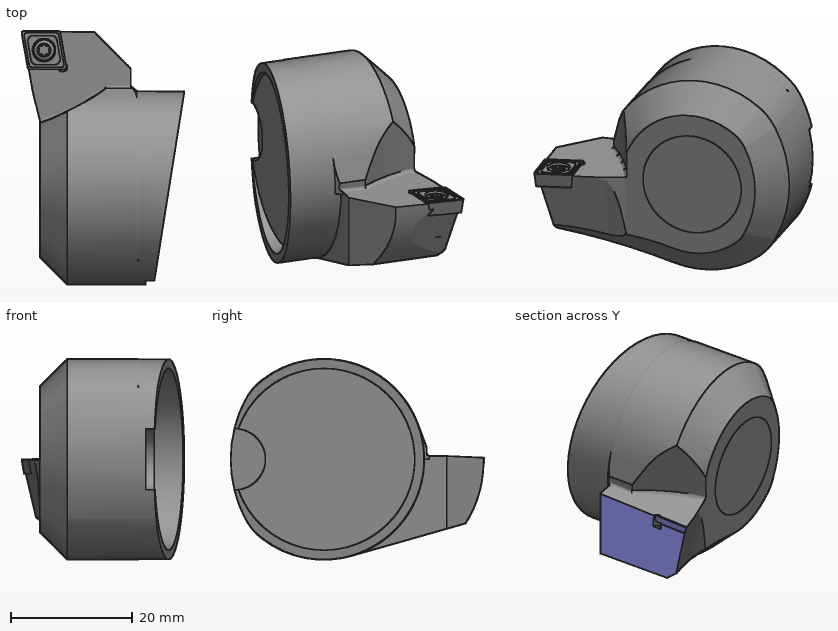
import cadquery as cq
import math


HEAD_RADIUS = 16.6
FLAT_SIDE_REACH = 15.4
FLAT_SIDE_RADIUS = 20.95
CORNER_RADIUS = 10.2
BULGE_ANGLE = 20.5
FRONT_CHAMFER = 4.5
END_TILT = 9.0
END_X_ON_AXIS = 21.23
SPIGOT_RADIUS = 16.54
SPIGOT_START = 16.3
SPIGOT_CHAMFER_LENGTH = 0.35
SPIGOT_RUNOUT_RADIUS = 17.4
BORE_RADIUS = 15.0
BORE_FLOOR_X = 18.87
NOTCH_RADIUS = 5.05
NOTCH_FLOOR_X = 17.45
NOTCH_CENTRE_Y = -14.7
LONG = 60.0

ARM_BACK_X = 15.0
ARM_REACH = 26.35
ARM_END_MIDDLE = (25.67, -5.5)
ARM_END_BOTTOM = (23.45, -10.5)
ARM_CORNER = (9.0, 20.25)
ARM_BOTTOM_ANGLE = 15.9
UNDERSIDE_CHAMFER_RADIUS = 51.0
ARM_HEEL = 11.55
ARM_KNEE = (-1.25, 16.6)
FLANK_ANGLE = 10.0
FLANK_LEAN = 11.0
FLANK_END_Y = 14.8
FLANK_BLEND_RADIUS = 4.0
FLOOR_TILT = 2.5
FLOOR_Z = -0.1
WALL_START = (-4.0, 10.3)
WALL_MIDDLE = (5.0, 13.3)
WALL_END = (10.9, 17.0)
FLOOR_FILLET = 0.5
HEEL_RELIEF_POINTS = ((-2.34, 25.4, -2.4), (-0.58, 23.75, -9.7), (6.0, 25.67, -5.5))

TIP_X = -3.05
TIP_Y = 26.5
INSERT_WIDTH = 6.35
INSERT_ANGLE = 80.0
INSERT_THICKNESS = 2.38
INSERT_CLEARANCE = 7.0
NOSE_RADIUS = 0.4
INSERT_LIFT = 0.2
RIM_WIDTH = 0.35
LAND_INSET = 0.78
LAND_CORNER_RADIUS = 0.9
GROOVE_DEPTH = 0.12
CORNER_RELIEF_RADIUS = 0.75

COUNTERSINK_RADIUS = 1.9
COUNTERSINK_DEPTH = 1.2
SCREW_SHANK_RADIUS = 1.25
SCREW_HEAD_RADIUS = 1.7
SCREW_CROWN_RADIUS = 1.1
SCREW_CROWN_HEIGHT = 0.25
SCREW_LENGTH = 7.0
SOCKET_RADIUS = 1.05
SOCKET_CORE_RADIUS = 0.8
SOCKET_LOBE_RADIUS = 0.25
SOCKET_DEPTH = 0.6
LOBES = 6

CAP_RADIUS = 8.5
CAP_THICKNESS = FRONT_CHAMFER


def polar(radius, degrees):
    angle = math.radians(degrees)
    return (radius * math.cos(angle), radius * math.sin(angle))


def head_outline(plane):
    """Outline in Y, Z: a round with a flattened -Y side and a bulge behind the arm."""
    flat_centre = FLAT_SIDE_RADIUS - FLAT_SIDE_REACH
    inner = HEAD_RADIUS - CORNER_RADIUS
    outer = FLAT_SIDE_RADIUS - CORNER_RADIUS
    centre_y = (inner**2 - outer**2 + flat_centre**2) / (2 * flat_centre)
    centre_z = math.sqrt(inner**2 - centre_y**2)
    round_end = (centre_y * HEAD_RADIUS / inner, centre_z * HEAD_RADIUS / inner)
    reach = FLAT_SIDE_RADIUS / outer
    flat_end = (flat_centre + (centre_y - flat_centre) * reach, centre_z * reach)
    blend_angle = (math.atan2(round_end[1], round_end[0])
                   + math.atan2(flat_end[1] - centre_z, flat_end[0] - centre_y)) / 2
    blend_mid = (centre_y + CORNER_RADIUS * math.cos(blend_angle),
                 centre_z + CORNER_RADIUS * math.sin(blend_angle))

    def mirrored(point):
        return (point[0], -point[1])

    return (
        plane.moveTo(HEAD_RADIUS, 0)
        .lineTo(HEAD_RADIUS / math.cos(math.radians(BULGE_ANGLE)), 0)
        .lineTo(*polar(HEAD_RADIUS, BULGE_ANGLE))
        .threePointArc((0, HEAD_RADIUS), round_end)
        .threePointArc(blend_mid, flat_end)
        .threePointArc((-FLAT_SIDE_REACH, 0), mirrored(flat_end))
        .threePointArc(mirrored(blend_mid), mirrored(round_end))
        .threePointArc(polar(HEAD_RADIUS, -45), (HEAD_RADIUS, 0))
        .close()
    )


def floor_plane(x=0.0, y=0.0, lift=0.0):
    """Plane of the tilted arm floor, with its origin above the point x, y."""
    z = FLOOR_Z + x * math.tan(math.radians(FLOOR_TILT)) + lift
    tilt = math.radians(FLOOR_TILT)
    return cq.Plane(
        origin=(x, y, z),
        xDir=(math.cos(tilt), 0, math.sin(tilt)),
        normal=(-math.sin(tilt), 0, math.cos(tilt)),
    )


def head_shell():
    straight = head_outline(cq.Workplane("YZ").workplane(offset=FRONT_CHAMFER)).extrude(LONG / 2)
    front = head_outline(cq.Workplane("YZ", origin=(FRONT_CHAMFER, 0, 0))).extrude(
        -FRONT_CHAMFER, taper=45)
    return straight.union(front)


def flank_point(y):
    """Point of the flank at floor height."""
    slope = math.tan(math.radians(FLANK_ANGLE))
    return (ARM_KNEE[0] - (y - ARM_KNEE[1]) * slope, y)


def arm_blank():
    """Arm with a sloped, front-chamfered underside and a round end."""
    corner_x, corner_y = ARM_CORNER
    plan = (
        cq.Workplane("XY", origin=(0, 0, -LONG / 2))
        .polyline([
            (0, 0),
            (0, ARM_HEEL),
            ARM_KNEE,
            flank_point(LONG / 2),
            (corner_x - (LONG / 2 - ARM_REACH), LONG / 2),
            (ARM_BACK_X, corner_y),
            (ARM_BACK_X, 0),
        ])
        .close()
        .extrude(LONG)
    )
    above_underside = (
        cq.Workplane("XY", origin=(0, 0, -HEAD_RADIUS))
        .rect(LONG, LONG, centered=(True, False))
        .extrude(2 * HEAD_RADIUS)
    )
    front_edge = (
        cq.Workplane("XY", origin=(FRONT_CHAMFER - UNDERSIDE_CHAMFER_RADIUS, 0, -HEAD_RADIUS))
        .circle(UNDERSIDE_CHAMFER_RADIUS)
        .extrude(HEAD_RADIUS, taper=45)
    )
    underside = above_underside.cut(front_edge).rotate((0, 0, 0), (1, 0, 0), ARM_BOTTOM_ANGLE)
    round_end = (
        cq.Workplane("YZ")
        .moveTo(ARM_REACH, 0)
        .threePointArc(ARM_END_MIDDLE, ARM_END_BOTTOM)
        .lineTo(ARM_END_BOTTOM[0], -LONG)
        .lineTo(0, -LONG)
        .lineTo(0, LONG)
        .lineTo(ARM_REACH, LONG)
        .close()
        .extrude(LONG, both=True)
    )
    above_floor = cq.Workplane(floor_plane()).rect(2 * LONG, 2 * LONG).extrude(LONG)
    return plan.intersect(underside).intersect(round_end).cut(above_floor)


def flank_relief():
    """Leaning clearance cut on the arm flank, ending in a round blend."""
    lean = math.tan(math.radians(FLANK_LEAN))

    end_x, end_y = flank_point(FLANK_END_Y)
    far_x, far_y = flank_point(LONG / 2)
    across = polar(FLANK_BLEND_RADIUS, FLANK_ANGLE)
    centre = (end_x - across[0], end_y - across[1])

    def blend_point(degrees):
        step = polar(FLANK_BLEND_RADIUS, FLANK_ANGLE - degrees)
        return (centre[0] + step[0], centre[1] + step[1])

    profile = (
        cq.Workplane("XY", origin=(0, 0, FLOOR_Z))
        .moveTo(far_x, far_y)
        .lineTo(end_x, end_y)
        .threePointArc(blend_point(45), blend_point(90))
        .lineTo(-LONG / 2, blend_point(90)[1])
        .lineTo(-LONG / 2, far_y)
        .close()
    )
    depth = HEAD_RADIUS
    sweep = cq.Vector(depth * lean, 0, -depth)
    return cq.Workplane(cq.Solid.extrudeLinear(profile.wires().val(), [], sweep))


def heel_relief():
    """Everything beyond the flat on the lower front corner of the arm end."""
    top, bottom, back = (cq.Vector(*point) for point in HEEL_RELIEF_POINTS)
    normal = (back - top).cross(bottom - top)
    if normal.y < 0:
        normal = normal * -1
    plane = cq.Plane(origin=top.toTuple(), xDir=(bottom - top).toTuple(), normal=normal.toTuple())
    return cq.Workplane(plane).rect(LONG, LONG).extrude(LONG)


def floor_clearance():
    """Space above the arm floor, bounded by a curved wall with a filleted foot."""
    arc_foot = cq.selectors.NearestToPointSelector((*WALL_MIDDLE, FLOOR_Z))
    wall_foot = cq.selectors.NearestToPointSelector((LONG / 4, WALL_END[1], FLOOR_Z))
    return (
        cq.Workplane(floor_plane())
        .moveTo(*WALL_START)
        .threePointArc(WALL_MIDDLE, WALL_END)
        .lineTo(LONG / 2, WALL_END[1])
        .lineTo(LONG / 2, LONG)
        .lineTo(WALL_START[0], LONG)
        .close()
        .extrude(LONG / 2)
        .faces("<Z").edges(arc_foot + wall_foot)
        .fillet(FLOOR_FILLET)
    )


def spigot_relief():
    """Ring outside the turned spigot, with its chamfered start."""
    chamfer_x = SPIGOT_START - SPIGOT_CHAMFER_LENGTH
    return (
        cq.Workplane("XY")
        .polyline([
            (ARM_BACK_X, SPIGOT_RUNOUT_RADIUS),
            (chamfer_x, HEAD_RADIUS),
            (SPIGOT_START, SPIGOT_RADIUS),
            (LONG, SPIGOT_RADIUS),
            (LONG, LONG),
            (ARM_BACK_X, LONG),
        ])
        .close()
        .revolve(360, (0, 0, 0), (1, 0, 0))
    )


def rear_cuts():
    """Slanted rear face, bore and half-round driving notch."""
    tilt = math.radians(END_TILT)
    rear = cq.Plane(
        origin=(END_X_ON_AXIS, 0, 0), xDir=(0, 0, 1), normal=(math.cos(tilt), -math.sin(tilt), 0))
    behind = cq.Workplane(rear).rect(2 * LONG, 2 * LONG).extrude(LONG)
    bore = cq.Workplane("YZ", origin=(BORE_FLOOR_X, 0, 0)).circle(BORE_RADIUS).extrude(LONG)
    notch_plane = cq.Workplane("YZ", origin=(NOTCH_FLOOR_X, NOTCH_CENTRE_Y, 0))
    notch = notch_plane.circle(NOTCH_RADIUS).extrude(LONG)
    mouth = notch_plane.center(-NOTCH_RADIUS, 0).rect(2 * NOTCH_RADIUS, 2 * NOTCH_RADIUS).extrude(LONG)
    return behind.union(bore).union(notch).union(mouth)


INSERT_SLANT = math.tan(math.radians(90 - INSERT_ANGLE))
INSERT_SIDE = INSERT_WIDTH / math.sin(math.radians(INSERT_ANGLE))
NOSE_SETBACK = NOSE_RADIUS * (1 / math.tan(math.radians(INSERT_ANGLE / 2)) - 1)
INSERT_X = TIP_X - NOSE_SETBACK + (INSERT_SIDE + INSERT_WIDTH * INSERT_SLANT) / 2
INSERT_Y = TIP_Y - INSERT_WIDTH / 2
INSERT_PLANE = floor_plane(INSERT_X, INSERT_Y, INSERT_LIFT)


def rhombus(inset, corner_radius, height, taper=0.0):
    """Rounded rhombic prism on the insert top, grown along the insert normal."""
    width = INSERT_WIDTH - 2 * inset
    half_side = width / math.sin(math.radians(INSERT_ANGLE)) / 2
    half_width = width / 2
    skew = half_width * INSERT_SLANT
    sketch = (
        cq.Sketch()
        .polygon([
            (-half_side - skew, half_width),
            (half_side - skew, half_width),
            (half_side + skew, -half_width),
            (-half_side + skew, -half_width),
            (-half_side - skew, half_width),
        ])
        .vertices()
        .fillet(corner_radius)
    )
    return cq.Workplane(INSERT_PLANE).placeSketch(sketch).extrude(height, taper=taper)


def insert_blank():
    return rhombus(0, NOSE_RADIUS, -INSERT_THICKNESS, INSERT_CLEARANCE)


def turned(points):
    """Body of revolution about the insert normal from radius, height points."""
    profile_plane = cq.Plane(
        origin=INSERT_PLANE.origin.toTuple(),
        xDir=INSERT_PLANE.xDir.toTuple(),
        normal=(INSERT_PLANE.yDir * -1).toTuple(),
    )
    return cq.Workplane(profile_plane).polyline(points).close().revolve(360, (0, 0, 0), (0, 1, 0))


def make_insert():
    groove = rhombus(RIM_WIDTH, NOSE_RADIUS, -GROOVE_DEPTH).cut(
        rhombus(LAND_INSET, LAND_CORNER_RADIUS, -GROOVE_DEPTH))
    hole = turned([
        (0, 0),
        (COUNTERSINK_RADIUS, 0),
        (SCREW_SHANK_RADIUS, -COUNTERSINK_DEPTH),
        (SCREW_SHANK_RADIUS, -INSERT_THICKNESS),
        (0, -INSERT_THICKNESS),
    ])
    return insert_blank().cut(groove).cut(hole)


def screw_blank():
    cone_slope = COUNTERSINK_DEPTH / (COUNTERSINK_RADIUS - SCREW_SHANK_RADIUS)
    rim_height = -(COUNTERSINK_RADIUS - SCREW_HEAD_RADIUS) * cone_slope
    crown = rim_height + SCREW_CROWN_HEIGHT
    return turned([
        (0, crown),
        (SCREW_CROWN_RADIUS, crown),
        (SCREW_HEAD_RADIUS, rim_height),
        (SCREW_SHANK_RADIUS, -COUNTERSINK_DEPTH),
        (SCREW_SHANK_RADIUS, -SCREW_LENGTH),
        (0, -SCREW_LENGTH),
    ])


def make_screw():
    """Countersunk screw with a six-lobe socket."""
    socket = cq.Workplane(INSERT_PLANE).circle(SOCKET_CORE_RADIUS).extrude(-SOCKET_DEPTH)
    lobes = (
        cq.Workplane(INSERT_PLANE)
        .polarArray(SOCKET_RADIUS - SOCKET_LOBE_RADIUS, 90, 360, LOBES)
        .circle(SOCKET_LOBE_RADIUS)
        .extrude(-SOCKET_DEPTH)
    )
    return screw_blank().cut(socket).cut(lobes)


def insert_seat():
    """Pocket for the insert, with a relief hole at its inner corner."""
    half_width = INSERT_WIDTH / 2
    corner_x = INSERT_SIDE / 2 + half_width * INSERT_SLANT - CORNER_RELIEF_RADIUS
    corner_y = -half_width + CORNER_RELIEF_RADIUS / 2
    relief = (
        cq.Workplane(INSERT_PLANE).center(corner_x, corner_y)
        .circle(CORNER_RELIEF_RADIUS).extrude(-INSERT_THICKNESS)
    )
    outward = insert_blank().translate((-NOSE_RADIUS, 0, 0))
    return insert_blank().union(outward).union(relief)


def make_cap():
    return cq.Workplane("YZ").circle(CAP_RADIUS).extrude(CAP_THICKNESS)


def make_head():
    arm = arm_blank().cut(flank_relief()).cut(heel_relief())
    return (
        head_shell()
        .cut(floor_clearance())
        .union(arm)
        .cut(spigot_relief())
        .cut(rear_cuts())
        .cut(insert_seat())
        .cut(screw_blank())
        .cut(make_cap())
    )


head = make_head()
insert = make_insert()
screw = make_screw()
cap = make_cap()

result = cq.Compound.makeCompound([head.val(), insert.val(), screw.val(), cap.val()])